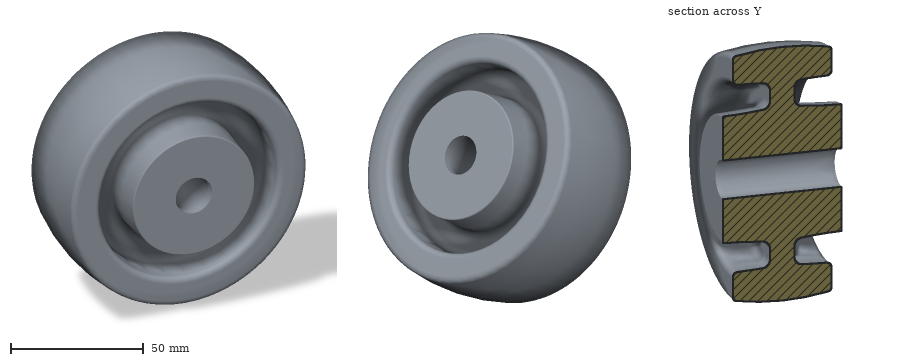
import cadquery as cq
import math

wheel_radius = 50.0
rim_width = 40.0
hub_width = 48.0
web_thickness = 10.0
bore_diameter = 15.0
crown_radius = 100.0
hub_end_radius = 25.0
hub_base_radius = 26.2
recess_mouth_radius = 36.8
recess_floor_radius = 36.2

tread_edge_fillet = 2.0
mouth_fillet = 2.3
floor_fillet = 3.0
hub_end_fillet = 0.5

half_rim = rim_width / 2
half_hub = hub_width / 2
half_web = web_thickness / 2
bore_radius = bore_diameter / 2
tread_edge_radius = wheel_radius - crown_radius + math.sqrt(crown_radius**2 - half_rim**2)


def wheel_blank():
    """Revolve the full section, with sharp corners, about the X axis."""
    return (
        cq.Workplane("XY")
        .moveTo(-half_hub, bore_radius)
        .lineTo(-half_hub, hub_end_radius)
        .lineTo(-half_web, hub_base_radius)
        .lineTo(-half_web, recess_floor_radius)
        .lineTo(-half_rim, recess_mouth_radius)
        .lineTo(-half_rim, tread_edge_radius)
        .threePointArc((0, wheel_radius), (half_rim, tread_edge_radius))
        .lineTo(half_rim, recess_mouth_radius)
        .lineTo(half_web, recess_floor_radius)
        .lineTo(half_web, hub_base_radius)
        .lineTo(half_hub, hub_end_radius)
        .lineTo(half_hub, bore_radius)
        .close()
        .revolve(360, (0, 0, 0), (1, 0, 0))
    )


def round_edge_pair(body, x, radius, fillet):
    """Fillet the circular edges of one radius at +x and -x."""
    tolerance = 0.01

    def matches(edge):
        if edge.geomType() != "CIRCLE":
            return False
        return (
            abs(abs(edge.Center().x) - x) < tolerance
            and abs(edge.radius() - radius) < tolerance
        )

    edges = [edge for edge in body.edges().vals() if matches(edge)]
    return body.newObject(edges).fillet(fillet)


result = wheel_blank()
for edge_x, edge_radius, edge_fillet in (
    (half_rim, tread_edge_radius, tread_edge_fillet),
    (half_rim, recess_mouth_radius, mouth_fillet),
    (half_web, recess_floor_radius, floor_fillet),
    (half_web, hub_base_radius, floor_fillet),
    (half_hub, hub_end_radius, hub_end_fillet),
):
    result = round_edge_pair(result, edge_x, edge_radius, edge_fillet)